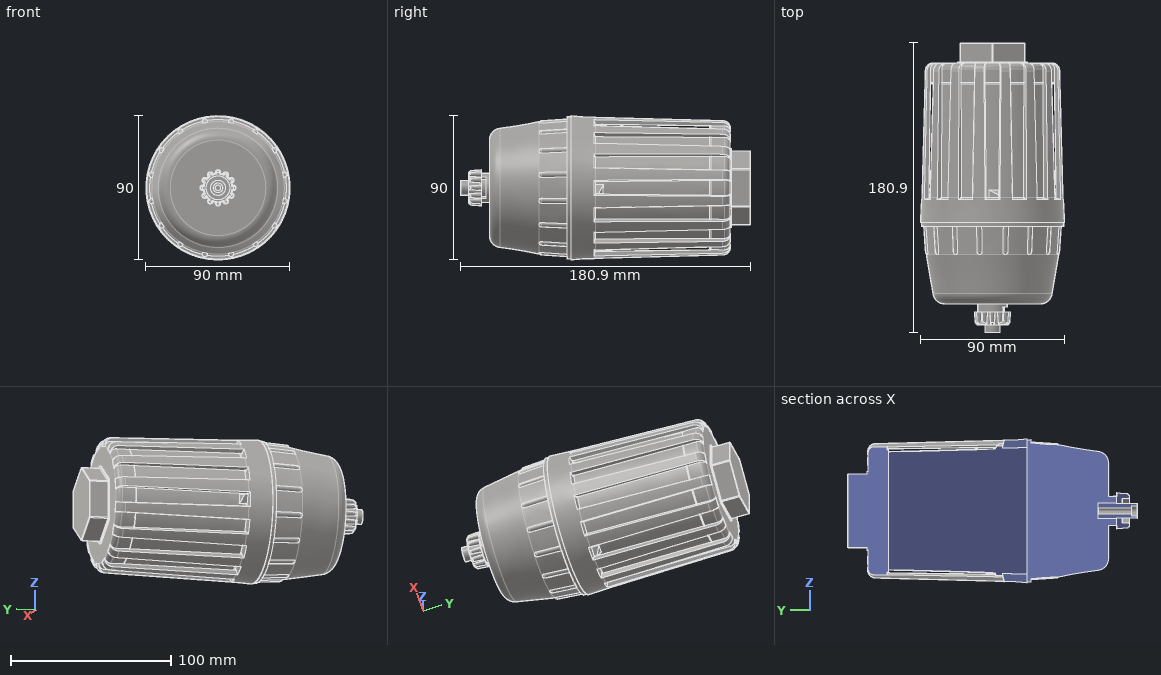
import cadquery as cq
import math

TOTAL_LENGTH = 180.9

KNOB_BOTTOM_Y = 4.9
KNOB_TOP_Y = 13.0
CUP_BOTTOM_Y = 17.9
CUP_CURVE_Y = 24.5
GRIP_BOTTOM_Y = 48.8
FLANGE_BOTTOM_Y = 66.4
FLANGE_TOP_Y = 69.0
WINDOW_BOTTOM_Y = 84.3
SHOULDER_Y = 156.1
GUARD_TOP_Y = 168.5

HEX_ACROSS_FLATS = 40.5
HEX_CORNER_DIAMETER = 46.3
PLINTH_OFFSET = 1.5
PLINTH_HEIGHT = 0.5
SHOULDER_RADIUS = 40.2
FINGER_TIP_THICKNESS = 0.2
LIP_RADIUS = 38.4
LIP_HEIGHT = 0.7
LIP_Y = SHOULDER_Y - LIP_HEIGHT
HEX_CHAMFER = 0.4
SHOULDER_FILLET = 3.5
SHOULDER_TOP_Y = GUARD_TOP_Y - FINGER_TIP_THICKNESS

GUARD_TOP_RADIUS = 42.3
GUARD_WINDOW_RADIUS = 44.3
GUARD_BOTTOM_RADIUS = 45.0
GUARD_DOME_RADIUS = 5.0
WINDOW_CUT_START = 34.4
WINDOW_CUT_END = 47.0
GUARD_INNER_RADIUS = 41.5
WINDOW_COUNT = 16
WINDOW_TOP_WIDTH = 9.8
WINDOW_BOTTOM_WIDTH = 7.2
WINDOW_FLARE = 15.0

LINER_TOP_RADIUS = 37.0
LINER_BOTTOM_RADIUS = 39.5
LATCH_COUNT = 4
LATCH_TOP_Y = 89.2
LATCH_LEFT_X = -2.2
LATCH_RIGHT_X = 3.6
LATCH_LOW_RADIUS = 39.8
LATCH_HIGH_RADIUS = 42.0
LATCH_ROOT_RADIUS = 38.5
LATCH_RAMP_DROP = 3.0

FLANGE_RADIUS = 44.5
CUP_TOP_RADIUS = 42.7
GRIP_BOTTOM_RADIUS = 41.5
CUP_CURVE_RADIUS = 37.3
CUP_FLAT_RADIUS = 29.8
GRIP_RIB_COUNT = 16
GRIP_RIB_RADIUS = 3.5 / 2
GRIP_RIB_SINK = 0.5
GRIP_RIB_OVERLAP = 0.9
COLLAR_RADIUS = 18.5 / 2
NOTCH_FLOOR_RADIUS = 7.5
NOTCH_HEIGHT = 2.9
NOTCH_ANGLE = 92.0

TUBE_RADIUS = 9.4 / 2
TUBE_TOP_Y = CUP_CURVE_Y
MOUTH_RADIUS = 6.0 / 2
MOUTH_DEPTH = 3.6
BORE_RADIUS = 3.5 / 2

KNOB_CORE_RADIUS = 8.7
LOBE_COUNT = 12
LOBE_RADIUS = 3.5 / 2
LOBE_CIRCLE_RADIUS = 9.5
LOBE_DRAFT = 4.0
KNOB_CHAMFER = 2.0
KNOB_TIP_RADIUS = 9.5
KNOB_RECESS_RADIUS = 7.5
KNOB_RECESS_DEPTH = 4.5


def turned(profile):
    """Revolve a closed (radius, y) profile about the Y axis."""
    return profile.close().revolve(360, (0, 0), (0, 1))


def cylinder(radius, y_low, y_high):
    return cq.Workplane("XZ", origin=(0, y_low, 0)).circle(radius).extrude(y_low - y_high)


def interpolate(y, y_low, value_low, y_high, value_high):
    return value_low + (value_high - value_low) * (y - y_low) / (y_high - y_low)


def liner_radius(y):
    return interpolate(y, FLANGE_TOP_Y, LINER_BOTTOM_RADIUS, LIP_Y, LINER_TOP_RADIUS)


def hexagon(across_flats, corner_diameter, y_low, y_high):
    """Hexagonal prism with rounded corners, two of them pointing along Z."""
    sharp_diameter = across_flats / math.cos(math.radians(30))
    prism = (
        cq.Workplane("XZ", origin=(0, y_low, 0))
        .transformed(rotate=(0, 0, 90))
        .polygon(6, sharp_diameter)
        .extrude(y_low - y_high)
    )
    return prism.intersect(cylinder(corner_diameter / 2, y_low, y_high))


def make_head():
    fillet_y = SHOULDER_TOP_Y - SHOULDER_FILLET
    shoulder = turned(
        cq.Workplane("XY")
        .moveTo(0, LIP_Y)
        .lineTo(LIP_RADIUS, LIP_Y)
        .lineTo(LIP_RADIUS, SHOULDER_Y)
        .lineTo(SHOULDER_RADIUS, SHOULDER_Y)
        .lineTo(SHOULDER_RADIUS, fillet_y)
        .radiusArc((SHOULDER_RADIUS - SHOULDER_FILLET, SHOULDER_TOP_Y), -SHOULDER_FILLET)
        .lineTo(0, SHOULDER_TOP_Y)
    )
    plinth = hexagon(
        HEX_ACROSS_FLATS + 2 * PLINTH_OFFSET,
        HEX_CORNER_DIAMETER + 2 * PLINTH_OFFSET,
        SHOULDER_TOP_Y,
        GUARD_TOP_Y + PLINTH_HEIGHT,
    )
    hex_nut = hexagon(HEX_ACROSS_FLATS, HEX_CORNER_DIAMETER, SHOULDER_TOP_Y, TOTAL_LENGTH)
    hex_nut = hex_nut.faces(">Y").chamfer(HEX_CHAMFER)
    return shoulder.union(plinth).union(hex_nut)


def window_outline(distance):
    """Outline of a window in the plane at this distance from the axis."""
    flare = (distance - SHOULDER_RADIUS) * math.tan(math.radians(WINDOW_FLARE))
    top_y = TOTAL_LENGTH
    top_width = interpolate(
        top_y, WINDOW_BOTTOM_Y, WINDOW_BOTTOM_WIDTH, GUARD_TOP_Y, WINDOW_TOP_WIDTH
    )
    bottom_y = WINDOW_BOTTOM_Y - flare
    half_bottom = WINDOW_BOTTOM_WIDTH / 2 + flare
    half_top = top_width / 2 + flare
    corners = [
        (-half_bottom, bottom_y),
        (half_bottom, bottom_y),
        (half_top, top_y),
        (-half_top, top_y),
    ]
    return [cq.Vector(x, y, distance) for x, y in corners]


def make_window_cutter():
    """Tapering slot on the +Z side whose walls and floor open outward."""
    end_wires = [
        cq.Wire.makePolygon(window_outline(distance), close=True)
        for distance in (WINDOW_CUT_START, WINDOW_CUT_END)
    ]
    return cq.Solid.makeLoft(end_wires, True)


def make_guard():
    tip_radius = SHOULDER_RADIUS - SHOULDER_FILLET
    guard = turned(
        cq.Workplane("XY")
        .moveTo(liner_radius(FLANGE_TOP_Y), FLANGE_TOP_Y)
        .lineTo(liner_radius(WINDOW_BOTTOM_Y), WINDOW_BOTTOM_Y)
        .lineTo(GUARD_INNER_RADIUS, WINDOW_BOTTOM_Y)
        .lineTo(SHOULDER_RADIUS, SHOULDER_Y)
        .lineTo(SHOULDER_RADIUS, SHOULDER_TOP_Y - SHOULDER_FILLET)
        .radiusArc((tip_radius, SHOULDER_TOP_Y), -SHOULDER_FILLET)
        .lineTo(tip_radius, GUARD_TOP_Y)
        .radiusArc((GUARD_TOP_RADIUS, GUARD_TOP_Y - GUARD_DOME_RADIUS), GUARD_DOME_RADIUS)
        .lineTo(GUARD_WINDOW_RADIUS, WINDOW_BOTTOM_Y)
        .lineTo(GUARD_BOTTOM_RADIUS, FLANGE_TOP_Y)
    )
    cutter = make_window_cutter()
    pitch = 360 / WINDOW_COUNT
    cutters = [cutter.rotate((0, 0, 0), (0, 1, 0), pitch * i) for i in range(WINDOW_COUNT)]
    return guard.cut(cq.Workplane(cq.Compound.makeCompound(cutters)))


def make_latch():
    """Ramped block on the +Z side that rises toward +X."""
    low_end = [
        (WINDOW_BOTTOM_Y, LATCH_ROOT_RADIUS),
        (WINDOW_BOTTOM_Y, LATCH_LOW_RADIUS),
        (LATCH_TOP_Y, LATCH_LOW_RADIUS),
        (LATCH_TOP_Y, LATCH_ROOT_RADIUS),
    ]
    high_end = [
        (WINDOW_BOTTOM_Y, LATCH_ROOT_RADIUS),
        (WINDOW_BOTTOM_Y, LATCH_HIGH_RADIUS),
        (LATCH_TOP_Y - LATCH_RAMP_DROP, LATCH_HIGH_RADIUS),
        (LATCH_TOP_Y, LATCH_ROOT_RADIUS),
    ]
    return (
        cq.Workplane("YZ", origin=(LATCH_LEFT_X, 0, 0))
        .polyline(low_end)
        .close()
        .workplane(offset=LATCH_RIGHT_X - LATCH_LEFT_X)
        .polyline(high_end)
        .close()
        .loft(ruled=True)
    )


def make_liner():
    liner = turned(
        cq.Workplane("XY")
        .moveTo(0, FLANGE_TOP_Y)
        .lineTo(LINER_BOTTOM_RADIUS, FLANGE_TOP_Y)
        .lineTo(LINER_TOP_RADIUS, LIP_Y)
        .lineTo(0, LIP_Y)
    )
    latch = make_latch()
    for i in range(LATCH_COUNT):
        liner = liner.union(latch.rotate((0, 0, 0), (0, 1, 0), 360 / LATCH_COUNT * i))
    return liner


def make_grip_rib():
    """Round rib with a domed lower end, lying along the ribbed band on the +Z side."""
    top = cq.Vector(0, FLANGE_BOTTOM_Y + GRIP_RIB_OVERLAP, CUP_TOP_RADIUS - GRIP_RIB_SINK)
    dome_y = GRIP_BOTTOM_Y + GRIP_RIB_RADIUS
    dome_surface = interpolate(
        dome_y, GRIP_BOTTOM_Y, GRIP_BOTTOM_RADIUS, FLANGE_BOTTOM_Y, CUP_TOP_RADIUS
    )
    dome_centre = cq.Vector(0, dome_y, dome_surface - GRIP_RIB_SINK)
    tilt = math.degrees(math.atan2(top.z - dome_centre.z, top.y - dome_centre.y))
    length = (top - dome_centre).Length
    upright_rib = turned(
        cq.Workplane("XY")
        .moveTo(0, -GRIP_RIB_RADIUS)
        .radiusArc((GRIP_RIB_RADIUS, 0), -GRIP_RIB_RADIUS)
        .lineTo(GRIP_RIB_RADIUS, length)
        .lineTo(0, length)
    )
    return upright_rib.rotate((0, 0, 0), (1, 0, 0), tilt).translate(dome_centre)


def make_collar_notch():
    """Part-ring recess in the +X side of the collar, next to the knob."""
    reach = 2 * COLLAR_RADIUS
    half_width = reach * math.tan(math.radians(NOTCH_ANGLE / 2))
    sector = (
        cq.Workplane("XZ", origin=(0, KNOB_TOP_Y, 0))
        .polyline([(0, 0), (reach, -half_width), (reach, half_width)])
        .close()
        .extrude(-NOTCH_HEIGHT)
    )
    return sector.cut(cylinder(NOTCH_FLOOR_RADIUS, KNOB_TOP_Y, KNOB_TOP_Y + NOTCH_HEIGHT))


def make_cup():
    cup = turned(
        cq.Workplane("XY")
        .moveTo(0, CUP_BOTTOM_Y)
        .lineTo(CUP_FLAT_RADIUS, CUP_BOTTOM_Y)
        .tangentArcPoint((CUP_CURVE_RADIUS, CUP_CURVE_Y), relative=False)
        .lineTo(GRIP_BOTTOM_RADIUS, GRIP_BOTTOM_Y)
        .lineTo(CUP_TOP_RADIUS, FLANGE_BOTTOM_Y)
        .lineTo(FLANGE_RADIUS, FLANGE_BOTTOM_Y)
        .lineTo(FLANGE_RADIUS, FLANGE_TOP_Y)
        .lineTo(0, FLANGE_TOP_Y)
    )
    rib = make_grip_rib()
    rib_pitch = 360 / GRIP_RIB_COUNT
    for i in range(GRIP_RIB_COUNT):
        cup = cup.union(rib.rotate((0, 0, 0), (0, 1, 0), rib_pitch * (i + 0.5)))
    collar = cylinder(COLLAR_RADIUS, KNOB_TOP_Y, CUP_BOTTOM_Y).cut(make_collar_notch())
    return cup.union(collar).cut(cylinder(TUBE_RADIUS, KNOB_TOP_Y, TUBE_TOP_Y))


def make_drain_tube():
    tube = cylinder(TUBE_RADIUS, 0, TUBE_TOP_Y)
    return tube.cut(cylinder(BORE_RADIUS, 0, TUBE_TOP_Y)).cut(cylinder(MOUTH_RADIUS, 0, MOUTH_DEPTH))


def make_knob():
    height = KNOB_TOP_Y - KNOB_BOTTOM_Y
    knob = cylinder(KNOB_CORE_RADIUS, KNOB_BOTTOM_Y, KNOB_TOP_Y)
    lobe = (
        cq.Workplane("XZ", origin=(LOBE_CIRCLE_RADIUS, KNOB_TOP_Y, 0))
        .circle(LOBE_RADIUS)
        .extrude(height, taper=LOBE_DRAFT)
    )
    for i in range(LOBE_COUNT):
        knob = knob.union(lobe.rotate((0, 0, 0), (0, 1, 0), 360 / LOBE_COUNT * i))
    outer_radius = LOBE_CIRCLE_RADIUS + LOBE_RADIUS
    envelope = turned(
        cq.Workplane("XY")
        .moveTo(0, KNOB_BOTTOM_Y)
        .lineTo(KNOB_TIP_RADIUS, KNOB_BOTTOM_Y)
        .lineTo(outer_radius, KNOB_BOTTOM_Y + KNOB_CHAMFER)
        .lineTo(outer_radius, KNOB_TOP_Y)
        .lineTo(0, KNOB_TOP_Y)
    )
    recess = cylinder(KNOB_RECESS_RADIUS, KNOB_BOTTOM_Y, KNOB_BOTTOM_Y + KNOB_RECESS_DEPTH)
    tube_hole = cylinder(TUBE_RADIUS, KNOB_BOTTOM_Y, KNOB_TOP_Y)
    return knob.intersect(envelope).cut(recess).cut(tube_hole)


head = make_head()
guard = make_guard()
liner = make_liner()
cup = make_cup()
drain_tube = make_drain_tube()
knob = make_knob()

bodies = [head, guard, liner, cup, drain_tube, knob]
result = cq.Compound.makeCompound([body.solids().val() for body in bodies])